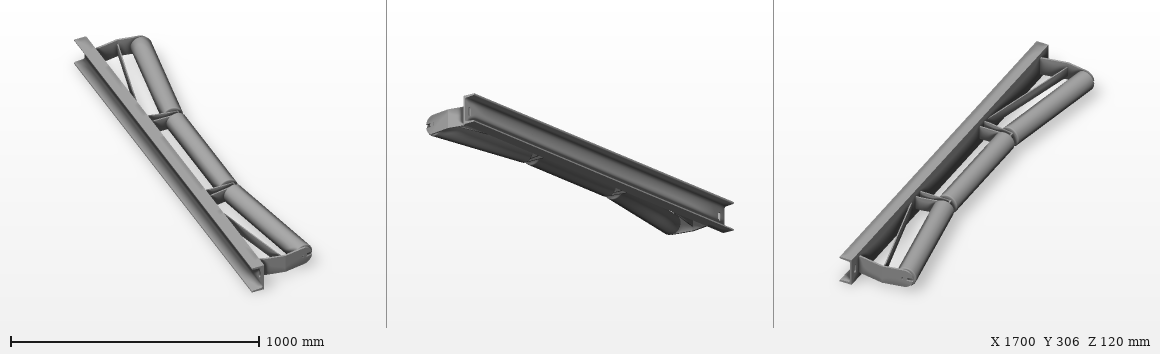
import cadquery as cq
import math

BEAM_LENGTH = 1700.0
BEAM_HEIGHT = 120.0
FLANGE_DEPTH = 55.0
WEB_THICKNESS = 7.0
FLANGE_THICKNESS = 9.4
FLANGE_TAPER = 0.08
ROOT_RADIUS = 8.0
TIP_RADIUS = 4.5
MOUNT_SLOT_WIDTH = 15.0
MOUNT_SLOT_HEIGHT = 37.0
MOUNT_SLOT_INSET = 30.0

ROLLER_DIAMETER = 88.0
ROLLER_LENGTH = 500.0
ROLLER_EDGE_RADIUS = 5.0
SHAFT_DIAMETER = 20.0
SHAFT_FLATS = 15.0
END_GAP = 3.0
TILT = 10.0
MIDDLE_AXIS_Y = 119.0
OUTER_CENTRE_X = -530.0
OUTER_CENTRE_Y = 165.0

END_WIDTH = 80.0
END_PLATE = 8.0
CROWN_DROP = 5.0
BEND_DROP = 95.0
CENTRE_WIDTH = 60.0
CENTRE_PLATE = 6.0
CENTRE_TOP_Y = 141.0
CENTRE_BEND_RADIUS = 3.0
CENTRE_KNEE_Y = 22.0
STRUT_THICKNESS = 5.0
STRUT_WIDTH = 45.0
STRUT_FOOT_X = -335.0

SIN = math.sin(math.radians(TILT))
COS = math.cos(math.radians(TILT))
HALF_ROLLER = ROLLER_LENGTH / 2
SEAT = HALF_ROLLER + END_GAP


def tilted_point(along, across):
    """Point at a distance along the left roller's axis and across it, measured from its middle."""
    return (
        OUTER_CENTRE_X + along * COS + across * SIN,
        OUTER_CENTRE_Y - along * SIN + across * COS,
    )


def tilted_point_at_height(along, y):
    """Point with the given Y on the plane square to the left roller's axis."""
    return tilted_point(along, (y - OUTER_CENTRE_Y + along * SIN) / COS)


def place_on_left_roller(body):
    return body.rotate((0, 0, 0), (0, 0, 1), -TILT).translate((OUTER_CENTRE_X, OUTER_CENTRE_Y, 0))


def place_on_middle_roller(body):
    return body.translate((0, MIDDLE_AXIS_Y, 0))


def plate_from_outline(points, width):
    return cq.Workplane("XY").workplane(offset=-width / 2).polyline(points).close().extrude(width)


def make_beam():
    half = BEAM_HEIGHT / 2
    rise = FLANGE_TAPER * FLANGE_DEPTH / 2
    tip = half - FLANGE_THICKNESS + rise
    root = half - FLANGE_THICKNESS - FLANGE_TAPER * (FLANGE_DEPTH / 2 - WEB_THICKNESS)
    outline = [
        (0, -half), (-FLANGE_DEPTH, -half), (-FLANGE_DEPTH, -tip), (-WEB_THICKNESS, -root),
        (-WEB_THICKNESS, root), (-FLANGE_DEPTH, tip), (-FLANGE_DEPTH, half), (0, half),
    ]
    beam = cq.Workplane("YZ", origin=(-BEAM_LENGTH / 2, 0, 0)).polyline(outline).close().extrude(BEAM_LENGTH)
    for y, z, radius in ((-WEB_THICKNESS, root, ROOT_RADIUS), (-FLANGE_DEPTH, tip, TIP_RADIUS)):
        for height in (z, -z):
            beam = beam.edges(cq.selectors.NearestToPointSelector((0, y, height))).fillet(radius)
    slot_x = BEAM_LENGTH / 2 - MOUNT_SLOT_INSET
    slots = (
        cq.Workplane("XZ")
        .pushPoints([(-slot_x, 0), (slot_x, 0)])
        .slot2D(MOUNT_SLOT_HEIGHT, MOUNT_SLOT_WIDTH, 90)
        .extrude(WEB_THICKNESS)
    )
    return beam.cut(slots)


def shaft_end(plate, side):
    """Flat-sided shaft end reaching from a roller face to the far face of a plate."""
    length = END_GAP + plate
    start = HALF_ROLLER if side > 0 else -HALF_ROLLER - length
    shaft = cq.Workplane("YZ", origin=(start, 0, 0)).circle(SHAFT_DIAMETER / 2).extrude(length)
    flats = cq.Workplane("XY").box(4 * ROLLER_LENGTH, SHAFT_DIAMETER, SHAFT_FLATS)
    return shaft.intersect(flats)


def make_roller(left_plate, right_plate):
    """Roller along X about the origin, with shaft ends sized for the plates that carry it."""
    drum = (
        cq.Workplane("YZ", origin=(-HALF_ROLLER, 0, 0))
        .circle(ROLLER_DIAMETER / 2)
        .extrude(ROLLER_LENGTH)
        .faces("<X or >X")
        .fillet(ROLLER_EDGE_RADIUS)
    )
    return drum.union(shaft_end(left_plate, -1)).union(shaft_end(right_plate, 1))


def shaft_slot(plate, side):
    """Cutter for the round-bottomed slot of a plate, open toward +Y."""
    half_width = SHAFT_FLATS / 2
    bottom_y = -math.sqrt((SHAFT_DIAMETER / 2) ** 2 - half_width**2)
    start = SEAT if side > 0 else -SEAT - plate
    return (
        cq.Workplane("YZ", origin=(start, 0, 0))
        .moveTo(ROLLER_DIAMETER, half_width)
        .lineTo(bottom_y, half_width)
        .threePointArc((bottom_y - half_width, 0), (bottom_y, -half_width))
        .lineTo(ROLLER_DIAMETER, -half_width)
        .close()
        .extrude(plate)
    )


def make_end_bracket():
    """Bent plate at the outer end of the left roller: leans out to the bend, then back in."""
    crown = END_WIDTH / 2
    bend_x, bend_y = tilted_point(-SEAT, -BEND_DROP)
    foot_x = bend_x + bend_y * SIN / COS
    thickness_x = END_PLATE / COS
    outline = [
        tilted_point(-SEAT, crown), (bend_x, bend_y), (foot_x, 0),
        (foot_x - thickness_x, 0), (bend_x - thickness_x, bend_y), tilted_point(-SEAT - END_PLATE, crown),
    ]
    bracket = plate_from_outline(outline, END_WIDTH)
    face = (
        cq.Workplane("YZ")
        .moveTo(-ROLLER_LENGTH, -crown)
        .lineTo(-CROWN_DROP, -crown)
        .threePointArc((crown - CROWN_DROP, 0), (-CROWN_DROP, crown))
        .lineTo(-ROLLER_LENGTH, crown)
        .close()
        .extrude(-ROLLER_LENGTH)
    )
    bracket = bracket.intersect(place_on_left_roller(face))
    return bracket.cut(place_on_left_roller(shaft_slot(END_PLATE, -1)))


def make_centre_bracket():
    """Inverted U between the left and middle rollers: one leg square to each roller's axis."""
    far = SEAT + CENTRE_PLATE
    under_top_y = CENTRE_TOP_Y - CENTRE_PLATE
    knee_x, knee_y = tilted_point_at_height(SEAT, CENTRE_KNEE_Y)
    thickness_x = CENTRE_PLATE / COS
    outline = [
        (knee_x, 0), (knee_x, knee_y), tilted_point_at_height(SEAT, CENTRE_TOP_Y),
        (-SEAT, CENTRE_TOP_Y), (-SEAT, 0), (-far, 0), (-far, under_top_y),
        tilted_point_at_height(far, under_top_y), (knee_x + thickness_x, knee_y), (knee_x + thickness_x, 0),
    ]
    bracket = plate_from_outline(outline, CENTRE_WIDTH)
    bracket = bracket.faces(">Y").edges("|Z").fillet(CENTRE_BEND_RADIUS)
    bracket = bracket.cut(place_on_left_roller(shaft_slot(CENTRE_PLATE, 1)))
    return bracket.cut(place_on_middle_roller(shaft_slot(CENTRE_PLATE, -1)))


def make_strut(end_bracket):
    """Flat bar from the bend of the end bracket down to the beam, trimmed to both."""
    start_x, start_y = tilted_point(-SEAT - END_PLATE / 2, -BEND_DROP)
    run = STRUT_FOOT_X - start_x
    slope = math.degrees(math.atan2(start_y, run))
    length = math.hypot(run, start_y) + STRUT_WIDTH
    bar = cq.Workplane("XY").box(length, STRUT_THICKNESS, STRUT_WIDTH, centered=(False, True, True))
    bar = bar.rotate((0, 0, 0), (0, 0, 1), -slope).translate((start_x, start_y, 0))
    above_beam = cq.Workplane("XY").box(BEAM_LENGTH, BEAM_LENGTH, END_WIDTH)
    return bar.intersect(above_beam.translate((0, BEAM_LENGTH / 2, 0))).cut(end_bracket)


beam = make_beam()
middle_roller = place_on_middle_roller(make_roller(CENTRE_PLATE, CENTRE_PLATE))
left_roller = place_on_left_roller(make_roller(END_PLATE, CENTRE_PLATE))
end_bracket = make_end_bracket()
left_side_bodies = [left_roller, end_bracket, make_centre_bracket(), make_strut(end_bracket)]

bodies = [beam.val(), middle_roller.val()]
for body in left_side_bodies:
    bodies.append(body.val())
    bodies.append(body.mirror("YZ").val())

result = cq.Compound.makeCompound(bodies)